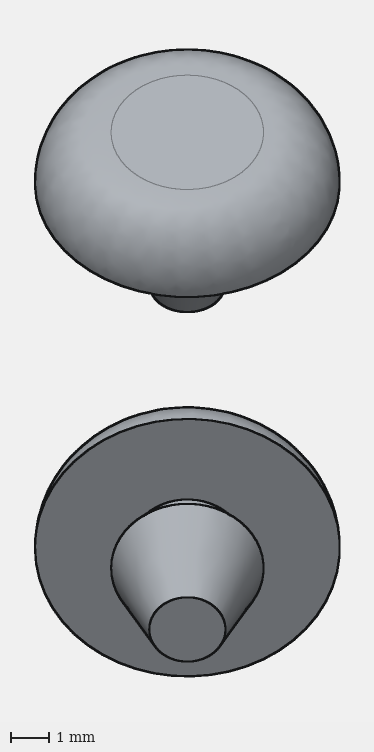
import cadquery as cq

head_diameter = 8.0
head_height = 2.0
neck_diameter = 3.0
neck_length = 1.0
plug_top_diameter = 4.0
plug_tip_diameter = 2.0
plug_length = 3.0

head_radius = head_diameter / 2
neck_radius = neck_diameter / 2
plug_top_radius = plug_top_diameter / 2
plug_tip_radius = plug_tip_diameter / 2

plug_top_z = -neck_length
plug_tip_z = plug_top_z - plug_length

edge_radius = head_height
flat_radius = head_radius - edge_radius
arc_mid_offset = edge_radius / 2**0.5

half_section = (
    cq.Workplane("XZ")
    .moveTo(0, plug_tip_z)
    .lineTo(plug_tip_radius, plug_tip_z)
    .lineTo(plug_top_radius, plug_top_z)
    .lineTo(neck_radius, plug_top_z)
    .lineTo(neck_radius, 0)
    .lineTo(head_radius, 0)
    .threePointArc((flat_radius + arc_mid_offset, arc_mid_offset), (flat_radius, head_height))
    .lineTo(0, head_height)
    .close()
)

result = half_section.revolve(360, (0, 0, 0), (0, 1, 0))